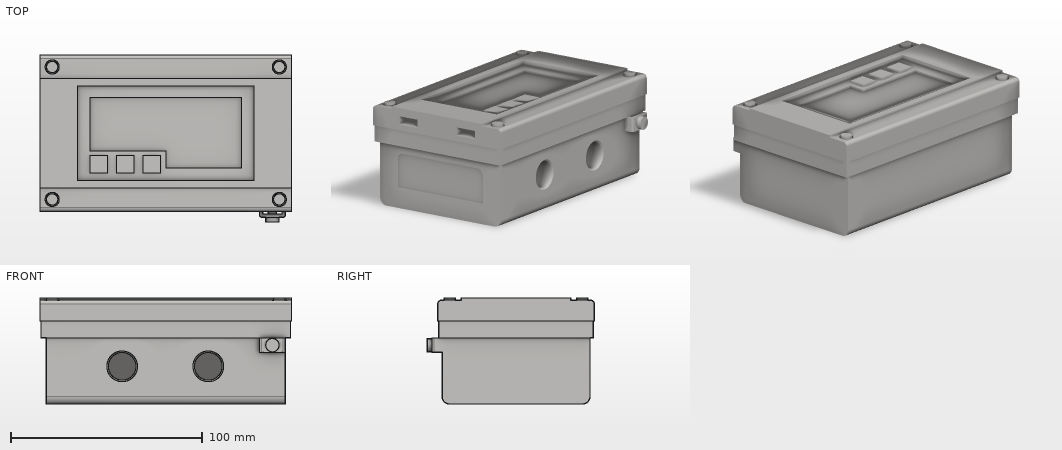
import cadquery as cq

total_height = 55.5
base_top = 34.6
collar_top = 43.4
edge_band_drop = 1.2
edge_band_top = total_height - edge_band_drop

base_length = 125.0
base_width = 77.4
base_edge_radius = 4.0
collar_length = 130.5
collar_width = 80.8
lid_length = 131.6
lid_width = 81.9
lid_edge_radius = 2.0
raised_strip_width = 57.4

window_length = 92.4
window_width = 49.2
window_depth = 2.6
window_floor = total_height - window_depth
screen_half_length = 39.5
screen_back = 18.7
screen_front = -18.3
screen_notch_y = -9.2
screen_depth = 1.6
button_size = 9.1
button_height = 1.3
button_pitch = 13.8
button_count = 3
button_row_y = -16.2

screw_head_diameter = 5.9
screw_seat_diameter = 7.4
screw_seat_depth = 1.3
screw_seat_level = edge_band_top - screw_seat_depth
screw_spacing_x = 118.7
screw_spacing_y = 69.2

slot_width = 12.4
slot_height = 4.5
slot_depth = 6.6
slot_spacing = 36.8
slot_center_z = 48.8

label_width = 54.7
label_bottom = 11.0
label_top = 29.9
label_corner_radius = 4.0
label_depth = 0.5

entry_diameter = 14.5
entry_chamfer = 0.8
entry_depth = 19.7
entry_spacing = 45.0
entry_center_x = -0.3
entry_center_z = 19.7

clamp_width = 13.5
clamp_height = 7.6
clamp_reach = 5.3
clamp_thickness = 1.8
clamp_corner_radius = 1.2
clamp_center_x = (base_length - clamp_width) / 2
clamp_center_z = base_top - clamp_height / 2
clamp_bolt_diameter = 4.3
clamp_head_diameter = 7.0
clamp_head_height = 2.5


def block(length, width, bottom, top):
    """Box centred on X and Y between two levels."""
    return cq.Workplane("XY").workplane(offset=bottom).rect(length, width).extrude(top - bottom)


def front_plane(x, z):
    """Plane on the base front wall whose normal points outward, along -Y."""
    return cq.Workplane("XZ", origin=(x, -base_width / 2, z))


def make_housing():
    base = block(base_length, base_width, 0, base_top)
    base = base.edges("|X and <Z").fillet(base_edge_radius)
    collar = block(collar_length, collar_width, base_top, collar_top)
    lid = block(lid_length, lid_width, collar_top, edge_band_top)
    lid = lid.edges("|X and >Z").fillet(lid_edge_radius)
    strip = block(lid_length, raised_strip_width, edge_band_top, total_height)
    return base.union(collar).union(lid).union(strip)


def make_display_cut():
    window = block(window_length, window_width, window_floor, total_height)
    screen = (
        cq.Workplane("XY")
        .workplane(offset=window_floor)
        .moveTo(-screen_half_length, screen_back)
        .lineTo(screen_half_length, screen_back)
        .lineTo(screen_half_length, screen_front)
        .lineTo(0, screen_front)
        .lineTo(0, screen_notch_y)
        .lineTo(-screen_half_length, screen_notch_y)
        .close()
        .extrude(-screen_depth)
    )
    return window.union(screen)


def make_buttons():
    first_x = -screen_half_length + button_size / 2
    centers = [(first_x + i * button_pitch, button_row_y) for i in range(button_count)]
    return (
        cq.Workplane("XY")
        .workplane(offset=window_floor)
        .pushPoints(centers)
        .rect(button_size, button_size)
        .extrude(button_height)
    )


def at_lid_corners(level):
    """Screw centres on a plane at the given level."""
    return (
        cq.Workplane("XY")
        .workplane(offset=level)
        .rect(screw_spacing_x, screw_spacing_y, forConstruction=True)
        .vertices()
    )


def make_screw_seats():
    return at_lid_corners(screw_seat_level).circle(screw_seat_diameter / 2).extrude(screw_seat_depth)


def make_screw_heads():
    """Heads that stand on the seats and end level with the raised strip."""
    head_height = total_height - screw_seat_level
    return at_lid_corners(screw_seat_level).circle(screw_head_diameter / 2).extrude(head_height)


def make_end_slots():
    return (
        cq.Workplane("YZ", origin=(-lid_length / 2, 0, slot_center_z))
        .pushPoints([(-slot_spacing / 2, 0), (slot_spacing / 2, 0)])
        .rect(slot_width, slot_height)
        .extrude(slot_depth)
    )


def make_label_recess():
    height = label_top - label_bottom
    return (
        cq.Workplane("YZ", origin=(-base_length / 2, 0, label_bottom + height / 2))
        .rect(label_width, height)
        .extrude(label_depth)
        .edges("|X and >Z")
        .fillet(label_corner_radius)
    )


def make_cable_entry(x):
    mouth_radius = entry_diameter / 2 + entry_chamfer
    bore = front_plane(x, entry_center_z).circle(entry_diameter / 2).extrude(-entry_depth)
    mouth = front_plane(x, entry_center_z).circle(mouth_radius).extrude(-entry_chamfer, taper=45)
    return bore.union(mouth)


def make_earth_clamp():
    """U-shaped bracket, open above and below, held by a round-headed bolt."""
    gap_depth = clamp_reach - clamp_thickness
    bracket = (
        front_plane(clamp_center_x, clamp_center_z)
        .rect(clamp_width, clamp_height)
        .extrude(clamp_reach)
        .edges("|Z and <Y")
        .fillet(clamp_corner_radius)
    )
    gap = (
        front_plane(clamp_center_x, clamp_center_z)
        .rect(clamp_width - 2 * clamp_thickness, clamp_height)
        .extrude(gap_depth)
    )
    shank = (
        front_plane(clamp_center_x, clamp_center_z)
        .circle(clamp_bolt_diameter / 2)
        .extrude(clamp_reach)
    )
    head = (
        front_plane(clamp_center_x, clamp_center_z)
        .workplane(offset=clamp_reach)
        .circle(clamp_head_diameter / 2)
        .extrude(clamp_head_height)
    )
    return bracket.cut(gap).union(shank).union(head)


result = make_housing()
result = result.cut(make_display_cut()).union(make_buttons())
result = result.cut(make_screw_seats()).union(make_screw_heads())
result = result.cut(make_end_slots()).cut(make_label_recess())
for side in (-1, 1):
    result = result.cut(make_cable_entry(entry_center_x + side * entry_spacing / 2))
result = result.union(make_earth_clamp())